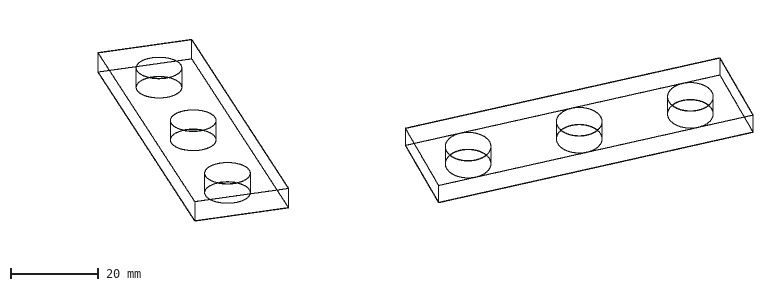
import cadquery as cq

length = 76.2
width = 22.35
thickness = 5.0
hole_diameter = 10.41
hole_count = 3

end_margin = width / 2
hole_pitch = (length - 2 * end_margin) / (hole_count - 1)


def make_bar():
    """Flat rectangular bar, centred on the origin."""
    return cq.Workplane("XY").box(length, width, thickness)


def drill_holes(bar):
    """Row of equally spaced through holes along the bar's centreline."""
    return (
        bar.faces(">Z")
        .workplane()
        .rarray(hole_pitch, width, hole_count, 1)
        .hole(hole_diameter)
    )


result = drill_holes(make_bar())